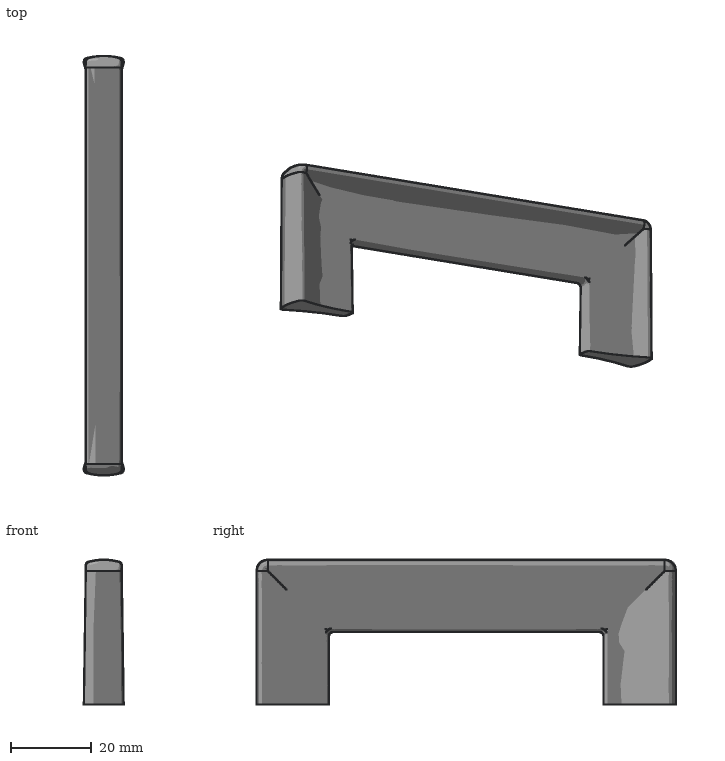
import cadquery as cq

length = 104.02
height = 35.98
limb_depth = 18.0

crown_rise = 0.9
side_taper = 3.0
side_hollow = 0.9
foot_width = 10.62
corner_width = 9.62
middle_width = 9.7
outer_edge_radius = 1.1
inner_edge_radius = 1.0

outer_bend_radius = 2.85
inner_bend_radius = 1.0

half_length = length / 2
bend_y = half_length - outer_bend_radius
bend_z = height - outer_bend_radius


def section(width):
    """Rounded limb section in the foot plane, as a face with its crown at y = half_length."""
    half_outer = width / 2
    half_inner = half_outer - side_taper
    half_waist = (half_outer + half_inner) / 2 - side_hollow
    outer_y = half_length - crown_rise
    inner_y = half_length - limb_depth
    waist_y = (outer_y + inner_y) / 2
    sharp = (
        cq.Workplane("XY")
        .moveTo(-half_outer, outer_y)
        .threePointArc((0, half_length), (half_outer, outer_y))
        .threePointArc((half_waist, waist_y), (half_inner, inner_y))
        .lineTo(-half_inner, inner_y)
        .threePointArc((-half_waist, waist_y), (-half_outer, outer_y))
        .close()
    )
    face = cq.Face.makeFromWires(sharp.val())
    outer_corners = [v for v in face.Vertices() if v.Y > waist_y]
    face = face.fillet2D(outer_edge_radius, outer_corners)
    inner_corners = [v for v in face.Vertices() if v.Y < waist_y]
    return face.fillet2D(inner_edge_radius, inner_corners)


to_mitre = cq.Matrix([[1, 0, 0, 0], [0, 1, 0, 0], [0, 1, 1, height - half_length]])
to_far_mitre = cq.Matrix([[1, 0, 0, 0], [0, -1, 0, 0], [0, 1, 1, height - half_length]])
to_middle = cq.Matrix([[1, 0, 0, 0], [0, 0, -1, 0], [0, 1, 0, height - half_length]])


def sharp_frame():
    """Both legs and the bar, meeting on sharp mitres."""
    foot = section(foot_width).outerWire()
    mitre = section(corner_width).outerWire().transformGeometry(to_mitre)
    far_mitre = section(corner_width).outerWire().transformGeometry(to_far_mitre)
    middle = section(middle_width).outerWire().transformGeometry(to_middle)
    leg = cq.Workplane(cq.Solid.makeLoft([foot, mitre], True))
    bar = cq.Workplane(cq.Solid.makeLoft([mitre, middle, far_mitre]))
    return bar.union(leg).union(leg.mirror("XZ"))


def corner_block():
    """The square corner outside the axis of the outer bend."""
    size = 2 * outer_bend_radius
    return (
        cq.Workplane("XY")
        .box(2 * foot_width, size, size, centered=(True, False, False))
        .translate((0, bend_y, bend_z))
    )


def quarter_turn(y_from, y_to, axis_y, axis_z):
    """Slice of the corner section between two y values, turned from the leg into the bar."""
    slab = (
        cq.Workplane("XY")
        .box(2 * foot_width, y_to - y_from, limb_depth, centered=(True, False, True))
        .translate((0, y_from, 0))
    )
    slice_face = section(corner_width).intersect(slab.val()).Faces()[0]
    slice_face = slice_face.translate(cq.Vector(0, 0, axis_z))
    axis_start = cq.Vector(0, axis_y, axis_z)
    return cq.Workplane(cq.Solid.revolve(slice_face, 90, axis_start, axis_start + cq.Vector(1, 0, 0)))


def outer_bend():
    """Outer part of the section, crown included, turned about the outer bend axis."""
    return quarter_turn(bend_y, half_length + outer_bend_radius, bend_y, bend_z)


def inner_bend():
    """Inner face and its rounded edges, turned about an axis inside the opening."""
    inner_y = half_length - limb_depth
    axis_y = inner_y - inner_bend_radius
    axis_z = height - limb_depth - inner_bend_radius
    return quarter_turn(axis_y, inner_y + inner_edge_radius, axis_y, axis_z)


def round_bends(frame):
    """Round the outside and inside of both bends."""
    block = corner_block()
    frame = frame.cut(block).cut(block.mirror("XZ"))
    for bend in (outer_bend(), inner_bend()):
        frame = frame.union(bend).union(bend.mirror("XZ"))
    return frame


result = cq.Workplane(round_bends(sharp_frame()).solids().val())